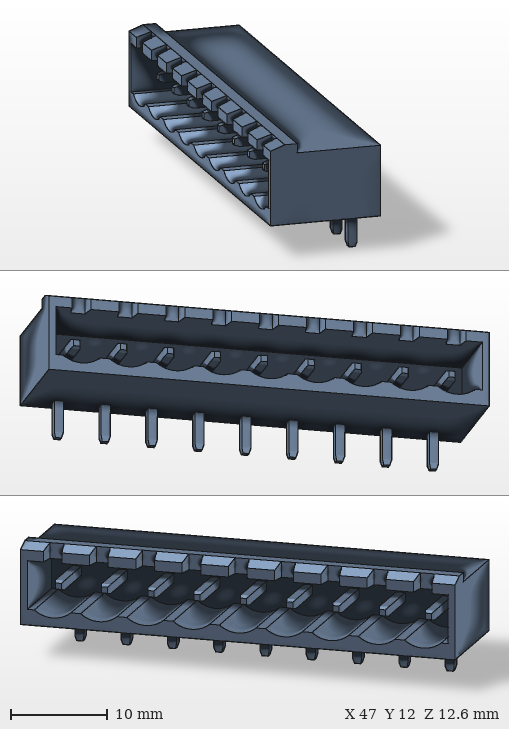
import cadquery as cq


LENGTH = 47.0
DEPTH = 12.0
HEIGHT = 8.6
LIP_HEIGHT = 1.0
LIP_DEPTH = 2.9
BEVEL_DEPTH = 1.55
BEVEL_DROP = 0.55

PIN_COUNT = 9
END_MARGIN = 3.5
PITCH = (LENGTH - 2 * END_MARGIN) / (PIN_COUNT - 1)

END_WALL = 0.75
ROOF = 1.7
FLOOR = 1.7
CAVITY_DEPTH = 8.5

SCALLOP_WIDTH = 3.95
SCALLOP_SAG = 0.7

NOTCH_FRONT_WIDTH = 2.0
NOTCH_BACK_WIDTH = 1.5

PIN_SIZE = 1.0
TIP_SIZE = 0.65
TIP_LENGTH = 0.55
PIN_HEIGHT = 3.85
TAIL_LENGTH = 4.0
TAIL_TO_BACK = 2.05
PIN_RECESS = 2.0

TAIL_Y = DEPTH - TAIL_TO_BACK
PIN_XS = [(i - (PIN_COUNT - 1) / 2) * PITCH for i in range(PIN_COUNT)]


def make_housing():
    """Constant side profile with a bevelled lip along the top front edge."""
    lip_base = HEIGHT - LIP_HEIGHT
    profile = [
        (0, 0),
        (DEPTH, 0),
        (DEPTH, lip_base),
        (LIP_DEPTH, lip_base),
        (LIP_DEPTH, HEIGHT),
        (BEVEL_DEPTH, HEIGHT),
        (0, HEIGHT - BEVEL_DROP),
    ]
    return cq.Workplane("YZ").polyline(profile).close().extrude(LENGTH / 2, both=True)


def make_cavity():
    """Rectangular opening whose floor dips in an arc below each pin."""
    half_width = LENGTH / 2 - END_WALL
    top = HEIGHT - ROOF
    outline = cq.Workplane("XZ").moveTo(-half_width, top).lineTo(-half_width, FLOOR)
    for x in PIN_XS:
        outline = outline.lineTo(x - SCALLOP_WIDTH / 2, FLOOR)
        outline = outline.threePointArc((x, FLOOR - SCALLOP_SAG), (x + SCALLOP_WIDTH / 2, FLOOR))
    outline = outline.lineTo(half_width, FLOOR).lineTo(half_width, top).close()
    return outline.extrude(-CAVITY_DEPTH)


def make_notch(x):
    """Notch that narrows from the front face to the back of the bevel."""
    outline = [
        (x - NOTCH_FRONT_WIDTH / 2, 0),
        (x + NOTCH_FRONT_WIDTH / 2, 0),
        (x + NOTCH_BACK_WIDTH / 2, BEVEL_DEPTH),
        (x - NOTCH_BACK_WIDTH / 2, BEVEL_DEPTH),
    ]
    return cq.Workplane("XY", origin=(0, 0, HEIGHT - ROOF)).polyline(outline).close().extrude(ROOF)


def make_leg(plane, length):
    """Square bar growing from the plane, with a tapered tip at its far end."""
    shank = cq.Workplane(plane).rect(PIN_SIZE, PIN_SIZE).extrude(length - TIP_LENGTH)
    tip = (
        cq.Workplane(plane)
        .workplane(offset=length - TIP_LENGTH)
        .rect(PIN_SIZE, PIN_SIZE)
        .workplane(offset=TIP_LENGTH)
        .rect(TIP_SIZE, TIP_SIZE)
        .loft(ruled=True)
    )
    return shank.union(tip)


def make_pin(x):
    """Right-angle pin: a contact leg to the front and a solder tail below."""
    bend = (x, TAIL_Y, PIN_HEIGHT)
    contact = make_leg(cq.Plane(bend, (1, 0, 0), (0, -1, 0)), TAIL_Y - PIN_RECESS)
    tail = make_leg(cq.Plane(bend, (1, 0, 0), (0, 0, -1)), PIN_HEIGHT + TAIL_LENGTH)
    return contact.union(tail)


result = make_housing().cut(make_cavity())
for pin_x in PIN_XS:
    result = result.cut(make_notch(pin_x))
    result = result.union(make_pin(pin_x))